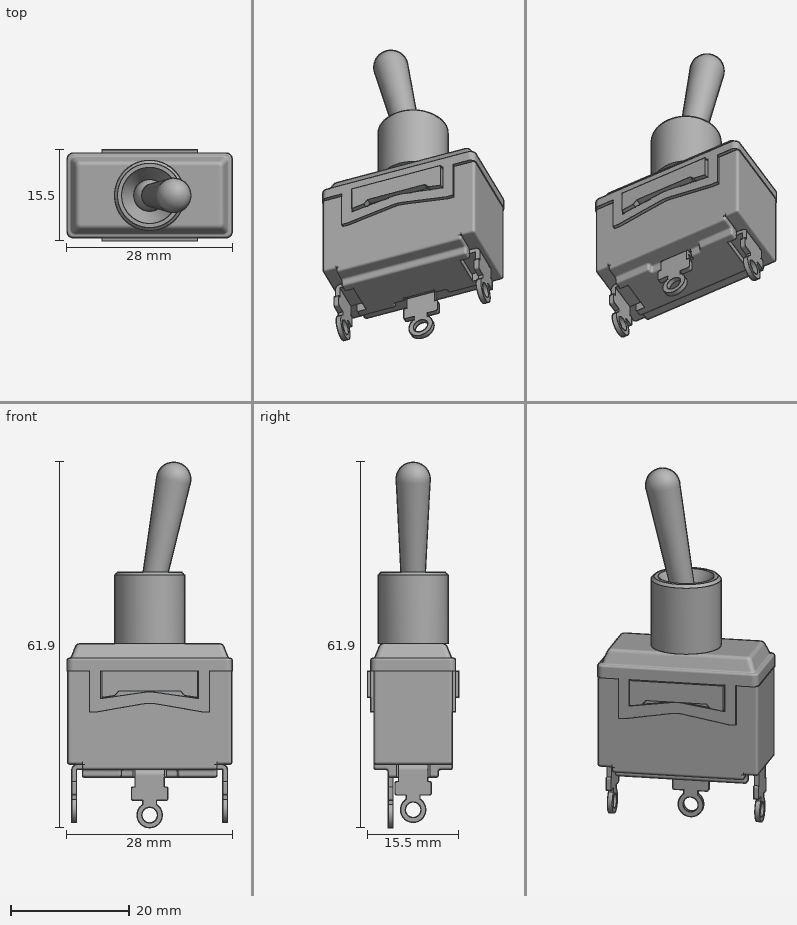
import cadquery as cq
import math


COVER_LENGTH = 28.0
COVER_WIDTH = 14.4
COVER_SKIRT_BOTTOM = -4.65
COVER_LEDGE = -2.45
COVER_CORNER_RADIUS = 1.1
COVER_LEDGE_FILLET = 0.4
CROWN_SETBACK = 0.65
CROWN_TAPER = 22.0
CROWN_CORNER_RADIUS = 0.9
CROWN_TOP_FILLET = 0.85
CROWN_ROOT_FILLET = 0.35

CLIP_WIDTH = 20.3
CLIP_BOTTOM = -11.55
CLIP_APEX = -10.0
CLIP_FOOT = 1.2
WINDOW_WIDTH = 16.6
WINDOW_BOTTOM = -9.3
WINDOW_APEX = -8.1
ARCH_RADIUS = 6.0
LATCH_CLEARANCE = 0.2
LATCH_SPAN = 15.5
LATCH_NOTCH_TOP_WIDTH = 10.4
LATCH_NOTCH_BOTTOM_WIDTH = 11.8
LATCH_NOTCH_TOP = -8.0
LATCH_NOTCH_BOTTOM = -8.75

BODY_LENGTH = 27.8
BODY_WIDTH = 13.3
BODY_BOTTOM = -21.33
BODY_EDGE_FILLET = 0.5
BODY_BOTTOM_FILLET = 0.4
END_STEP_LENGTH = 2.5
END_STEP_HEIGHT = 0.9

RIB_WIDTH = 8.5
RIB_BOTTOM = -22.63
POCKET_GAP = 0.35
POCKET_DEPTH = 1.7
RELIEF_WIDTH = 9.6
RELIEF_DEPTH = 0.9

TERMINAL_THICKNESS = 0.85
TERMINAL_WIDTH = 5.0
TERMINAL_BEND_RADIUS = 1.0
TERMINAL_TAB_WIDTH = 6.2
TERMINAL_TAB_TOP = -2.9
TERMINAL_TAB_BOTTOM = -5.2
TERMINAL_TAB_FILLET = 0.35
TERMINAL_NECK_WIDTH = 2.4
TERMINAL_EYE_Z = -7.69
TERMINAL_EYE_DIAMETER = 4.3
TERMINAL_HOLE_DIAMETER = 2.6
SIDE_TERMINAL_FACE = 13.2

BUSHING_DIAMETER = 11.9
BUSHING_HEIGHT = 12.1
BUSHING_CHAMFER = 0.5
BOWL_DIAMETER = 9.5

PIVOT_BALL_DIAMETER = 5.4
PIVOT_BALL_HEIGHT = 8.2
LEVER_ROOT_HEIGHT = 6.94
LEVER_TILT = 11.0
LEVER_LENGTH = 21.26
LEVER_BASE_DIAMETER = 3.7
LEVER_TIP_DIAMETER = 5.86

RIB_LENGTH = BODY_LENGTH - 2 * END_STEP_LENGTH
END_STEP_Z = BODY_BOTTOM + END_STEP_HEIGHT
LATCH_WIDTH = WINDOW_WIDTH - 2 * LATCH_CLEARANCE
POCKET_WIDTH = TERMINAL_WIDTH + 2 * POCKET_GAP


def block(length, width, bottom, top):
    """Box centred on the Z axis between two heights."""
    return cq.Workplane("XY").workplane(offset=bottom).rect(length, width).extrude(top - bottom)


def symmetric_prism(right_half, width):
    """Prism centred on Y = 0 whose XZ outline is the given right half and its mirror image."""
    left_half = [(-x, z) for x, z in reversed(right_half) if x > 0]
    outline = cq.Workplane("XZ").polyline(right_half + left_half).close()
    return outline.extrude(width / 2, both=True)


def make_cover():
    """Upright skirt with a tapered, rounded crown blended into its ledge."""
    skirt = block(COVER_LENGTH, COVER_WIDTH, COVER_SKIRT_BOTTOM, COVER_LEDGE)
    skirt = skirt.edges("|Z").fillet(COVER_CORNER_RADIUS)
    crown = (
        cq.Workplane("XY")
        .workplane(offset=COVER_LEDGE)
        .rect(COVER_LENGTH - 2 * CROWN_SETBACK, COVER_WIDTH - 2 * CROWN_SETBACK)
        .extrude(-COVER_LEDGE, taper=CROWN_TAPER)
    )
    crown = crown.edges("not(#Z)").fillet(CROWN_CORNER_RADIUS)
    crown = crown.faces(">Z").edges().fillet(CROWN_TOP_FILLET)
    skirt = skirt.faces(">Z").edges().fillet(COVER_LEDGE_FILLET)
    cover = skirt.union(crown)
    ledge = cover.faces("|Z").faces(cq.selectors.NearestToPointSelector((0, 0, COVER_LEDGE)))
    root_edges = ledge.wires().item(1).edges()
    return root_edges.fillet(CROWN_ROOT_FILLET)


def round_apex(prism, height):
    """Round the ridge line of an arched lower edge."""
    ridge = cq.selectors.NearestToPointSelector((0, 0, height))
    return prism.edges("|Y").edges(ridge).fillet(ARCH_RADIUS)


def make_clips():
    """Cover tongues on both long sides, each with an arched window for the latch."""
    tongue_top = COVER_LEDGE - COVER_LEDGE_FILLET
    tongue = symmetric_prism(
        [
            (0, CLIP_APEX),
            (CLIP_WIDTH / 2 - CLIP_FOOT, CLIP_BOTTOM),
            (CLIP_WIDTH / 2, CLIP_BOTTOM),
            (CLIP_WIDTH / 2, tongue_top),
        ],
        COVER_WIDTH,
    )
    window = symmetric_prism(
        [
            (0, WINDOW_APEX),
            (WINDOW_WIDTH / 2, WINDOW_BOTTOM),
            (WINDOW_WIDTH / 2, COVER_SKIRT_BOTTOM),
        ],
        COVER_WIDTH,
    )
    return round_apex(tongue, CLIP_APEX).cut(round_apex(window, WINDOW_APEX))


def make_latches():
    """Raised latch panels with a shallow notch in the lower edge."""
    return symmetric_prism(
        [
            (LATCH_NOTCH_TOP_WIDTH / 2, LATCH_NOTCH_TOP),
            (LATCH_NOTCH_BOTTOM_WIDTH / 2, LATCH_NOTCH_BOTTOM),
            (LATCH_WIDTH / 2, WINDOW_BOTTOM + LATCH_CLEARANCE),
            (LATCH_WIDTH / 2, COVER_SKIRT_BOTTOM),
        ],
        LATCH_SPAN,
    )


def make_body():
    """Housing with stepped ends and a rib along its underside."""
    body = block(BODY_LENGTH, BODY_WIDTH, END_STEP_Z, COVER_SKIRT_BOTTOM)
    body = body.edges("|Z").fillet(BODY_EDGE_FILLET)
    body = body.faces("<Z").edges().fillet(BODY_BOTTOM_FILLET)
    slab = block(RIB_LENGTH, BODY_WIDTH, BODY_BOTTOM, END_STEP_Z)
    rib = block(RIB_LENGTH, RIB_WIDTH, RIB_BOTTOM, BODY_BOTTOM)
    relief = block(RELIEF_WIDTH, 2 * RELIEF_DEPTH, RIB_BOTTOM, BODY_BOTTOM)
    rib = rib.cut(relief.translate((0, -RIB_WIDTH / 2, 0)))
    keel = slab.union(rib)
    keel = keel.edges("not >Z").fillet(BODY_BOTTOM_FILLET)
    core = block(RIB_LENGTH, BODY_WIDTH, END_STEP_Z, COVER_SKIRT_BOTTOM)
    return body.union(core).union(keel)


def cut_pockets(body):
    """Recesses in the rib and end steps that receive the three terminals."""
    end_pocket = block(2 * POCKET_DEPTH, POCKET_WIDTH, RIB_BOTTOM, END_STEP_Z)
    for end_x in (-RIB_LENGTH / 2, RIB_LENGTH / 2):
        body = body.cut(end_pocket.translate((end_x, 0, 0)))
    front_pocket = block(POCKET_WIDTH, 2 * POCKET_DEPTH, RIB_BOTTOM, BODY_BOTTOM)
    return body.cut(front_pocket.translate((0, -RIB_WIDTH / 2, 0)))


def make_terminal(flange_length):
    """Bent solder lug: outer face on Y = 0, top of its flange on Z = 0, eye pointing down."""

    def plate(width, bottom, top):
        height = top - bottom
        centre = (0, TERMINAL_THICKNESS / 2, (top + bottom) / 2)
        return cq.Workplane("XY").box(width, TERMINAL_THICKNESS, height).translate(centre)

    def disc(diameter):
        return (
            cq.Workplane("XZ")
            .center(0, TERMINAL_EYE_Z)
            .circle(diameter / 2)
            .extrude(-TERMINAL_THICKNESS)
        )

    flange = cq.Workplane("XY").box(TERMINAL_WIDTH, flange_length, TERMINAL_THICKNESS)
    flange = flange.translate((0, flange_length / 2, -TERMINAL_THICKNESS / 2))
    stem = plate(TERMINAL_WIDTH, TERMINAL_TAB_TOP, 0)
    bend = flange.union(stem).edges("|X").edges("<Y").edges(">Z").fillet(TERMINAL_BEND_RADIUS)
    tab = plate(TERMINAL_TAB_WIDTH, TERMINAL_TAB_BOTTOM, TERMINAL_TAB_TOP)
    tab = tab.edges("|Y").fillet(TERMINAL_TAB_FILLET)
    neck = plate(TERMINAL_NECK_WIDTH, TERMINAL_EYE_Z, TERMINAL_TAB_BOTTOM)
    lug = bend.union(tab).union(neck).union(disc(TERMINAL_EYE_DIAMETER))
    return lug.cut(disc(TERMINAL_HOLE_DIAMETER))


def make_terminals():
    """Centre lug in front of the rib and one lug at each end, turned to face outward."""
    front_face = RIB_WIDTH / 2
    centre = make_terminal(POCKET_DEPTH).translate((0, -front_face, BODY_BOTTOM))
    end_reach = SIDE_TERMINAL_FACE - RIB_LENGTH / 2 + POCKET_DEPTH
    end = make_terminal(end_reach).translate((0, -SIDE_TERMINAL_FACE, END_STEP_Z))
    lugs = [centre]
    for turn in (-90, 90):
        lugs.append(end.rotate((0, 0, 0), (0, 0, 1), turn))
    return lugs


def make_bushing():
    """Round sleeve with a conical bowl that narrows onto the pivot ball."""
    sleeve = cq.Workplane("XY").circle(BUSHING_DIAMETER / 2).extrude(BUSHING_HEIGHT)
    sleeve = sleeve.faces(">Z").edges().chamfer(BUSHING_CHAMFER)
    bowl = cq.Solid.makeCone(
        PIVOT_BALL_DIAMETER / 2,
        BOWL_DIAMETER / 2,
        BUSHING_HEIGHT - PIVOT_BALL_HEIGHT,
        pnt=cq.Vector(0, 0, PIVOT_BALL_HEIGHT),
    )
    return sleeve.cut(cq.Workplane(obj=bowl))


def make_lever():
    """Tapered bat with a ball tip, tilted toward +X, rising from the pivot ball."""
    base_radius = LEVER_BASE_DIAMETER / 2
    tip_radius = LEVER_TIP_DIAMETER / 2
    flare = math.asin((tip_radius - base_radius) / LEVER_LENGTH)
    bat_length = LEVER_LENGTH + tip_radius * math.sin(flare)
    bat = cq.Workplane(obj=cq.Solid.makeCone(base_radius, tip_radius * math.cos(flare), bat_length))
    bat = bat.rotate((0, 0, 0), (0, 1, 0), LEVER_TILT).translate((0, 0, LEVER_ROOT_HEIGHT))
    tilt = math.radians(LEVER_TILT)
    tip_x = LEVER_LENGTH * math.sin(tilt)
    tip_z = LEVER_ROOT_HEIGHT + LEVER_LENGTH * math.cos(tilt)
    tip = cq.Workplane("XY").sphere(tip_radius).translate((tip_x, 0, tip_z))
    pivot = cq.Workplane("XY").sphere(PIVOT_BALL_DIAMETER / 2).translate((0, 0, PIVOT_BALL_HEIGHT))
    return bat.union(tip).union(pivot)


pieces = [make_cover(), make_clips(), make_latches(), make_bushing(), make_lever()]
result = cut_pockets(make_body())
for piece in pieces + make_terminals():
    result = result.union(piece)